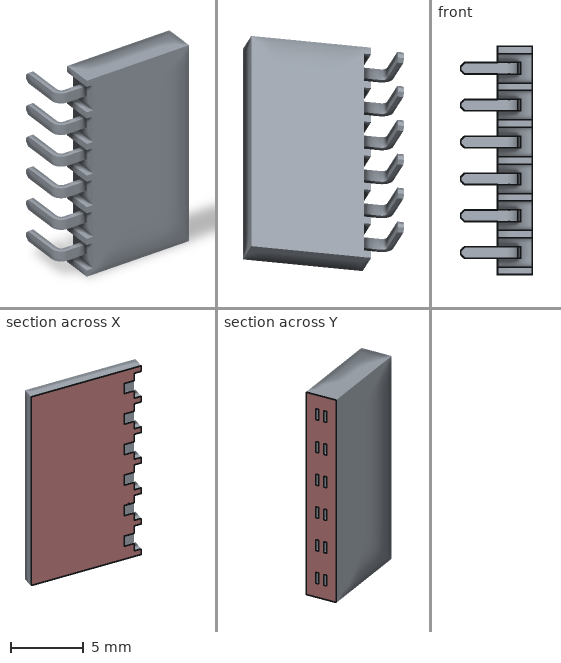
import cadquery as cq


overall_width = 4.95
overall_depth = 10.24
overall_height = 15.75

body_width = 2.41
body_depth = 8.52
rib_height = 0.5
recess_depth = 0.5

pin_count = 6
pin_height = 0.8
pin_thickness = 0.43
inner_bend_radius = 0.36
tip_chamfer = 0.27

socket_size = pin_height
socket_depth = socket_size

pitch = (overall_height - rib_height) / pin_count
recess_height = pitch - rib_height
outer_bend_radius = inner_bend_radius + pin_thickness
pin_front = body_depth - overall_depth
pin_tip = body_width / 2 - overall_width
socket_floor = recess_depth + socket_depth
pin_levels = [(i - (pin_count - 1) / 2) * pitch for i in range(pin_count)]


def box(width, depth, height, front, level):
    """Box centred on X = 0 and Z = level, reaching back in +Y from Y = front."""
    return cq.Workplane("XY").box(width, depth, height).translate((0, front + depth / 2, level))


def make_housing():
    """Block with recesses between the front ribs and a blind socket in each recess."""
    housing = box(body_width, body_depth, overall_height, 0, 0)
    for level in pin_levels:
        housing = housing.cut(box(body_width, recess_depth, recess_height, 0, level))
        housing = housing.cut(box(socket_size, socket_depth, socket_size, recess_depth, level))
    return housing


def make_pin():
    """L-shaped flat pin from the socket floor to its tapered tip, centred on Z = 0."""
    leg_right = pin_thickness / 2
    leg_left = -leg_right
    foot_back = pin_front + pin_thickness
    bend_x = leg_right - outer_bend_radius
    bend_y = pin_front + outer_bend_radius
    pin = (
        cq.Workplane("XY")
        .moveTo(pin_tip, pin_front)
        .lineTo(bend_x, pin_front)
        .radiusArc((leg_right, bend_y), -outer_bend_radius)
        .lineTo(leg_right, socket_floor)
        .lineTo(leg_left, socket_floor)
        .lineTo(leg_left, bend_y)
        .radiusArc((bend_x, foot_back), inner_bend_radius)
        .lineTo(pin_tip, foot_back)
        .close()
        .extrude(pin_height / 2, both=True)
    )
    return pin.faces("<X").edges("|Y").chamfer(tip_chamfer)


result = make_housing()
pin = make_pin()
for level in pin_levels:
    result = result.union(pin.translate((0, 0, level)))